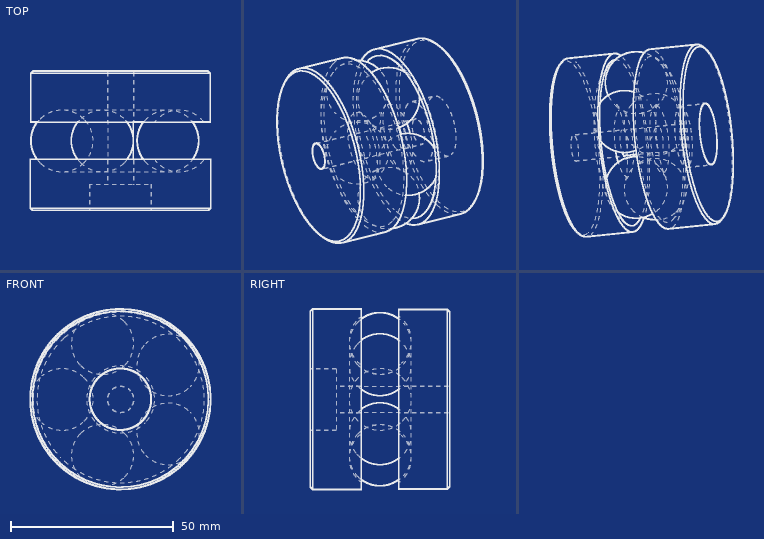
import cadquery as cq

total_width = 42.86
washer_width = 15.74
front_diameter = 55.56
rear_diameter = 55.21
edge_chamfer = 0.75

ball_count = 5
ball_diameter = 19.05
pitch_radius = 18.03

shaft_diameter = 7.92
shaft_hole_diameter = 8.18
counterbore_diameter = 19.05
head_height = 8.0

ball_radius = ball_diameter / 2
diametral_clearance = shaft_hole_diameter - shaft_diameter
head_diameter = counterbore_diameter - diametral_clearance
front_y = -total_width / 2
rear_y = total_width / 2


def cylinder(diameter, start_y, length):
    """Cylinder on the Y axis, running from start_y toward +Y."""
    plane = cq.Plane(origin=(0, start_y, 0), xDir=(1, 0, 0), normal=(0, 1, 0))
    return cq.Workplane(plane).circle(diameter / 2).extrude(length)


def ball_race():
    """Ring of circular section that the balls roll in; half of it sinks into each washer."""
    centre = cq.Vector(0, 0, 0)
    axis = cq.Vector(0, 1, 0)
    return cq.Workplane(cq.Solid.makeTorus(pitch_radius, ball_radius, centre, axis))


def washer(diameter, start_y, outer_face):
    """Bored disc with a chamfered outer edge and a ball groove in its inner face."""
    disc = cylinder(diameter, start_y, washer_width)
    disc = disc.faces(outer_face).edges().chamfer(edge_chamfer)
    bore = cylinder(shaft_hole_diameter, start_y, washer_width)
    return disc.cut(bore).cut(ball_race())


def make_front_washer():
    """Front washer, counterbored so that the pin head sits flush."""
    counterbore = cylinder(counterbore_diameter, front_y, head_height)
    return washer(front_diameter, front_y, "<Y").cut(counterbore)


def make_rear_washer():
    """Rear washer, slightly smaller, with a plain bore."""
    return washer(rear_diameter, rear_y - washer_width, ">Y")


def make_pin():
    """Headed pin, flush with the outer faces of both washers."""
    head = cylinder(head_diameter, front_y, head_height)
    shaft = cylinder(shaft_diameter, front_y, total_width)
    return head.union(shaft)


def make_ball(angle):
    """Ball on the pitch circle, turned by an angle in degrees about Y from the -X side."""
    ball = cq.Workplane("XY").sphere(ball_radius).translate((-pitch_radius, 0, 0))
    return ball.rotate((0, 0, 0), (0, 1, 0), angle)


front_washer = make_front_washer()
rear_washer = make_rear_washer()
pin = make_pin()

ball_spacing = 360 / ball_count
balls = [make_ball(i * ball_spacing) for i in range(ball_count)]

result = cq.Compound.makeCompound(
    [front_washer.val(), rear_washer.val(), pin.val(), *[ball.val() for ball in balls]]
)